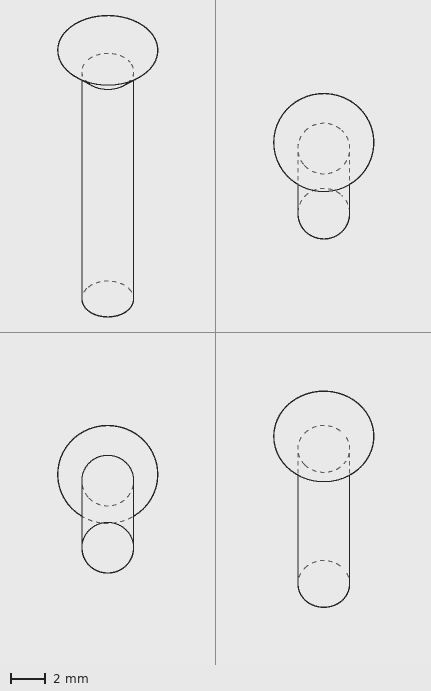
import cadquery as cq

total_length = 20.0
head_diameter = 5.8
shank_diameter = 3.0
head_height = 1.7

head_radius = head_diameter / 2
shank_radius = shank_diameter / 2
head_base_z = total_length - head_height

half_section = (
    cq.Workplane("XZ")
    .moveTo(0, 0)
    .lineTo(shank_radius, 0)
    .lineTo(shank_radius, head_base_z)
    .lineTo(head_radius, total_length)
    .lineTo(0, total_length)
    .close()
)

result = half_section.revolve(360, (0, 0, 0), (0, 1, 0))